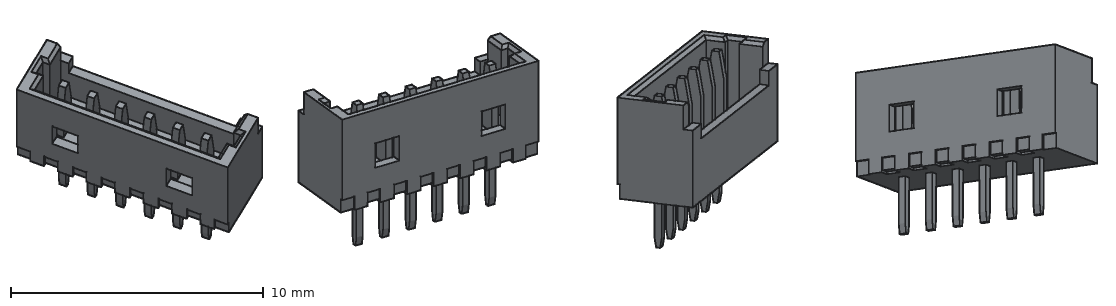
import cadquery as cq

length = 9.25
depth = 3.2
height = 4.2
wall_front = 0.4
wall_back = 0.4
wall_side = 0.6
floor_height = 1.1
lip_chamfer = 0.15

notch_depth = 0.305
notch_front = 1.2
notch_back = 1.8

back_step_height = 3.2
back_opening_height = 2.6
post_length = 0.95

pin_count = 6
pitch = 1.25
pin_size = 0.305
pin_y = 1.2
pin_tail = 2.3
pin_top = 4.0
blade_width = 0.7
blade_taper = 1.1
tip_length = 0.4
tip_width = 0.17

window_width = 1.13
window_bottom = 1.61
window_height = 1.09

relief_width = 0.6
relief_height = 0.6
relief_depth = 0.1
groove_height = 0.1

first_pin_x = (length - (pin_count - 1) * pitch) / 2
pin_xs = [first_pin_x + i * pitch for i in range(pin_count)]


def box(x0, x1, y0, y1, z0, z1):
    """Axis-aligned block between two opposite corners."""
    return cq.Workplane("XY").box(x1 - x0, y1 - y0, z1 - z0, centered=False).translate((x0, y0, z0))


def lip_frustum(x0, x1, y0, y1):
    """Opening that flares outward by the lip chamfer up to the housing top."""
    return (
        cq.Workplane("XY", origin=((x0 + x1) / 2, (y0 + y1) / 2, height - lip_chamfer))
        .rect(x1 - x0, y1 - y0)
        .workplane(offset=lip_chamfer)
        .rect(x1 - x0 + 2 * lip_chamfer, y1 - y0 + 2 * lip_chamfer)
        .loft(ruled=True)
    )


def make_cavity():
    """Mating cavity with its two keying notches and chamfered lip."""
    cavity_back = depth - wall_back
    main = (wall_side, length - wall_side, wall_front, cavity_back)
    notches = (wall_side - notch_depth, length - wall_side + notch_depth, notch_front, notch_back)
    cavity = box(*main, floor_height, height).union(box(*notches, floor_height, height))
    return cavity.union(lip_frustum(*main)).union(lip_frustum(*notches))


def make_pin(x):
    """Flat pin: square tail with a tapered tip, wide blade with a tapered top."""
    tail = pin_size / 2
    tip = tip_width / 2
    blade = blade_width / 2
    right_side = [
        (tip, -pin_tail),
        (tail, tip_length - pin_tail),
        (tail, floor_height),
        (blade, floor_height),
        (blade, pin_top - blade_taper),
        (tail, pin_top),
    ]
    left_side = [(-y, z) for y, z in reversed(right_side)]
    return (
        cq.Workplane("YZ", origin=(x, pin_y, 0))
        .polyline(right_side + left_side)
        .close()
        .extrude(pin_size / 2, both=True)
    )


result = box(0, length, 0, depth, 0, height).cut(make_cavity())

result = result.cut(box(0, length, depth - wall_back, depth, back_step_height, height))
result = result.cut(
    box(post_length, length - post_length, depth - wall_back, depth, back_opening_height, height)
)

for x in (first_pin_x + pitch / 2, length - first_pin_x - pitch / 2):
    result = result.cut(
        box(
            x - window_width / 2, x + window_width / 2,
            0, wall_front,
            window_bottom, window_bottom + window_height,
        )
    )

relief_centres = [relief_width / 2] + pin_xs + [length - relief_width / 2]
for x in relief_centres:
    result = result.cut(
        box(x - relief_width / 2, x + relief_width / 2, 0, relief_depth, 0, relief_height)
    )

for x in pin_xs:
    result = result.cut(
        box(x - relief_width / 2, x + relief_width / 2, 0, wall_front, 0, groove_height)
    )

for x in pin_xs:
    result = result.union(make_pin(x))